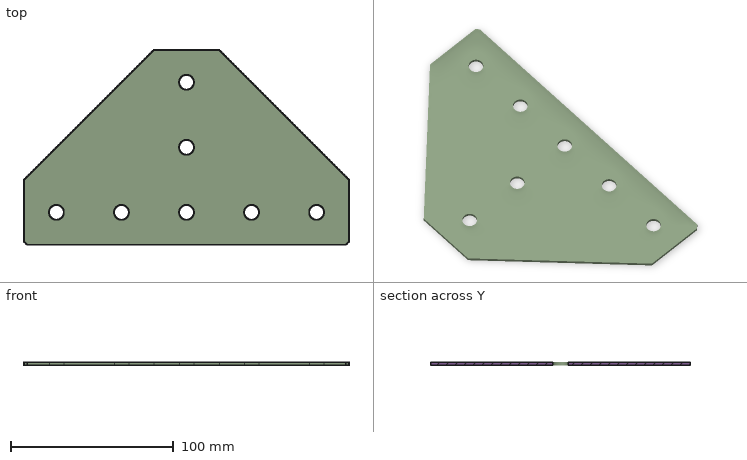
import cadquery as cq

hole_pitch = 40.0
thickness = 2.0
hole_diameter = 9.0
corner_chamfer = 2.0
holes_in_row = 5
holes_in_column = 3

arm_width = hole_pitch
edge_distance = arm_width / 2
plate_length = holes_in_row * hole_pitch
plate_height = holes_in_column * hole_pitch
half_length = plate_length / 2


def make_plate():
    """T-shaped joining plate with 45 degree sides between the two arms."""
    outline = [
        (-half_length, 0),
        (half_length, 0),
        (half_length, arm_width),
        (arm_width / 2, plate_height),
        (-arm_width / 2, plate_height),
        (-half_length, arm_width),
    ]
    return cq.Workplane("XY").polyline(outline).close().extrude(thickness)


def chamfer_lower_corners(plate):
    """Break the two square corners at the ends of the long straight edge."""
    long_edge_side = plate.faces("<Y")
    return long_edge_side.edges("|Z").chamfer(corner_chamfer)


def hole_centers():
    """Row along the long edge, then the column above the middle of the row."""
    row = [
        (edge_distance - half_length + i * hole_pitch, edge_distance)
        for i in range(holes_in_row)
    ]
    column = [(0, edge_distance + i * hole_pitch) for i in range(1, holes_in_column)]
    return row + column


def drill_holes(plate):
    """Cut the plain through holes."""
    drills = (
        cq.Workplane("XY")
        .pushPoints(hole_centers())
        .circle(hole_diameter / 2)
        .extrude(thickness)
    )
    return plate.cut(drills)


result = drill_holes(chamfer_lower_corners(make_plate()))